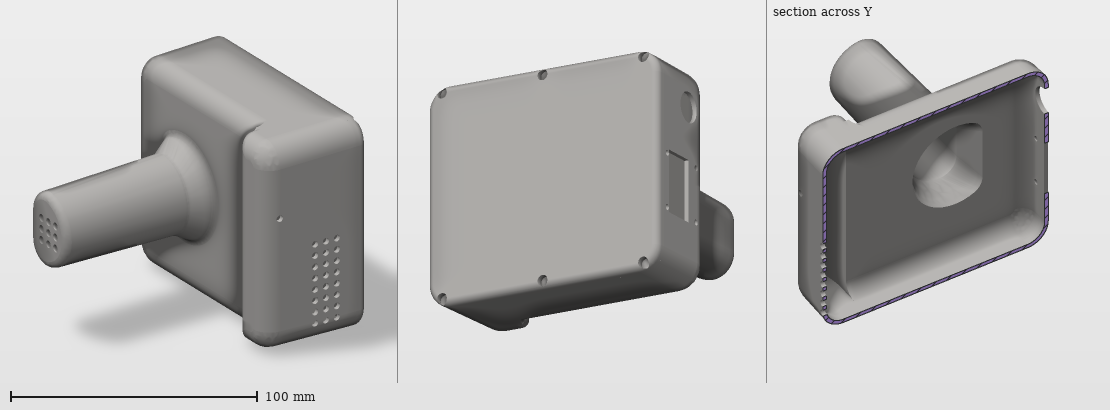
import cadquery as cq
import math

WIDTH = 108.7
HEIGHT = 93.7
DEPTH = 110.0
LID_DEPTH = 5.0
FACE_DEPTH = 40.0
RIDGE_DEPTH = 50.0
RIDGE_LEFT = 32.6
DRAFT = 1.0
CORNER_RADIUS = 10.0
FRONT_FILLET = 8.0
SEAM_FILLET = 3.0
BACK_FILLET = 3.0
WALL = 2.0
RIDGE_END_FILLET = 3.0
SEAM_OVERLAP = 1.1
SEAM_HALF = (
    HEIGHT / 2
    - (FACE_DEPTH - LID_DEPTH) * math.tan(math.radians(DRAFT))
    - FRONT_FILLET * math.tan(math.radians((90 - DRAFT) / 2))
)

RECESS_DIAMETER = 4.6
RECESS_DEPTH = 3.0
SCREW_X = 47.4
SCREW_Z = 43.8

HANDLE_X = -17.7
ROOT_RADIUS = 22.5
ROOT_FLAT = 14.8
ROOT_STRAIGHT = 12.2
NECK_RADIUS = 17.5
NECK_FLAT = 9.9
NECK_STRAIGHT = 7.5
END_RADIUS = 16.6
END_FLAT = 8.6
END_STRAIGHT = 6.4
NECK_DEPTH = RIDGE_DEPTH
ROOT_FILLET = 3.0
NECK_FILLET = 2.0
END_FILLET = 3.0

END_HOLE_DIAMETER = 3.3
END_HOLE_PITCH = 5.0
END_HOLES_PER_SIDE = 3
END_HOLE_X = -13.4

PORT_DIAMETER = 13.2
PORT_DEPTH = 25.1
PORT_Z = 27.9
WINDOW_START = 9.1
WINDOW_LENGTH = 16.1
WINDOW_HEIGHT = 26.6
WINDOW_Z = -7.8
MOUNT_DIAMETER = 2.4
MOUNT_LENGTH = 23.5
MOUNT_HEIGHT = 23.1
MOUNT_START = 7.7

VENT_DIAMETER = 3.0
VENT_ROWS = 8
VENT_COLUMNS = 3
VENT_ROW_PITCH = 5.1
VENT_COLUMN_PITCH = 5.3
VENT_START = 14.6
VENT_TOP_Z = -1.6
LIGHT_DIAMETER = 3.0
LIGHT_DEPTH = 42.4
LIGHT_Z = 14.3

SELECT_MARGIN = 1.1
SELECT_TOLERANCE = 0.05

CUT_SPAN = 8.8


def plane_at(depth):
    """Sketch plane at a depth in front of the back face, looking toward -Y."""
    return cq.Workplane("XZ", origin=(0, -depth, 0))


def drafted_block(inset, depth):
    """Block with rounded corners that narrows from the lid joint to its front."""
    return (
        plane_at(LID_DEPTH)
        .rect(WIDTH - 2 * inset, HEIGHT - 2 * inset)
        .extrude(depth - inset - LID_DEPTH, taper=DRAFT)
        .edges("not(<Y or >Y)")
        .fillet(CORNER_RADIUS - inset)
    )


def left_of(x):
    """Oversized block that fills everything to the left of an X position."""
    return cq.Workplane("XY").box(WIDTH, 3 * DEPTH, 2 * HEIGHT).translate((x - WIDTH / 2, 0, 0))


def ridge_block(inset):
    """Tall right-hand part of the housing with rounded front edges."""
    block = drafted_block(inset, RIDGE_DEPTH).cut(left_of(RIDGE_LEFT + inset))
    return block.faces("<Y").edges().fillet(FRONT_FILLET - inset)


def round_ridge_ends(block):
    """Round the two left corners of the ridge, selected by the mitred edges at its front."""
    mitres = cq.selectors.BoxSelector(
        (RIDGE_LEFT, -RIDGE_DEPTH, -HEIGHT / 2),
        (RIDGE_LEFT + FRONT_FILLET, -RIDGE_DEPTH + FRONT_FILLET - SELECT_MARGIN, HEIGHT / 2),
    )
    return block.edges(mitres).fillet(RIDGE_END_FILLET)


def seam_section():
    """Concave fillet profile between the front face and the rounded ridge, for sweeping along the seam."""
    ridge_arc_x = RIDGE_LEFT + FRONT_FILLET
    ridge_arc_y = -RIDGE_DEPTH + FRONT_FILLET
    seam_arc_y = -FACE_DEPTH - SEAM_FILLET
    reach = SEAM_FILLET + FRONT_FILLET
    tilt = math.asin((ridge_arc_y - seam_arc_y) / reach)
    seam_arc_x = ridge_arc_x - reach * math.cos(tilt)
    touch = (seam_arc_x + SEAM_FILLET * math.cos(tilt), seam_arc_y + SEAM_FILLET * math.sin(tilt))
    middle_angle = (tilt + math.pi / 2) / 2
    middle = (
        seam_arc_x + SEAM_FILLET * math.cos(middle_angle),
        seam_arc_y + SEAM_FILLET * math.sin(middle_angle),
    )
    return (
        cq.Workplane("XY", origin=(0, 0, SEAM_HALF))
        .moveTo(seam_arc_x, -FACE_DEPTH)
        .threePointArc(middle, touch)
        .lineTo(ridge_arc_x, touch[1])
        .lineTo(ridge_arc_x, -FACE_DEPTH + SEAM_OVERLAP)
        .lineTo(seam_arc_x, -FACE_DEPTH + SEAM_OVERLAP)
        .close()
    )


def ridge_seam():
    """Concave fillet along the foot of the ridge, turning down over the rounded ends of the face."""
    pivot_y = -FACE_DEPTH + FRONT_FILLET
    straight = seam_section().extrude(-2 * SEAM_HALF)
    turn = seam_section().revolve(90, (1.1, pivot_y, 0), (0, pivot_y, 0))
    seam = straight.union(turn).union(turn.mirror("XY"))
    return seam.intersect(drafted_block(0, RIDGE_DEPTH))


def main_block(inset):
    """Broad part of the housing with rounded front edges."""
    block = drafted_block(inset, FACE_DEPTH).faces("<Y").edges().fillet(FRONT_FILLET - inset)
    return block.intersect(left_of(RIDGE_LEFT + FRONT_FILLET))


def handle_section(depth, radius, flat, straight):
    """Closed outline of the handle: one large arc, a flat on the left and two corner arcs."""
    corner = (radius**2 - flat**2 - straight**2) / (2 * (radius - flat))
    corner_x = HANDLE_X - flat + corner
    toward_corner = math.atan2(straight, corner_x - HANDLE_X)
    touch_x = HANDLE_X + radius * math.cos(toward_corner)
    touch_z = radius * math.sin(toward_corner)
    middle_angle = (toward_corner + math.pi) / 2
    middle_x = corner_x + corner * math.cos(middle_angle)
    middle_z = straight + corner * math.sin(middle_angle)
    flat_x = HANDLE_X - flat
    return (
        plane_at(depth)
        .moveTo(flat_x, -straight)
        .lineTo(flat_x, straight)
        .threePointArc((middle_x, middle_z), (touch_x, touch_z))
        .threePointArc((HANDLE_X + radius, 0), (touch_x, -touch_z))
        .threePointArc((middle_x, -middle_z), (flat_x, -straight))
        .close()
        .wires()
        .val()
    )


def handle_form(inset):
    """Flared foot and tapered grip of the handle, shrunk by an inset."""
    root = handle_section(
        FACE_DEPTH - inset, ROOT_RADIUS - inset, ROOT_FLAT - inset, ROOT_STRAIGHT
    )
    neck = handle_section(NECK_DEPTH, NECK_RADIUS - inset, NECK_FLAT - inset, NECK_STRAIGHT)
    end = handle_section(DEPTH - inset, END_RADIUS - inset, END_FLAT - inset, END_STRAIGHT)
    foot = cq.Workplane(cq.Solid.makeLoft([root, neck], True))
    grip = cq.Workplane(cq.Solid.makeLoft([neck, end], True))
    return foot.union(grip)


def handle_edges(body, depth):
    """Edges of the handle outline that lie at one depth."""
    reach = ROOT_RADIUS + SELECT_MARGIN
    return body.edges(
        cq.selectors.BoxSelector(
            (HANDLE_X - reach, -depth - SELECT_TOLERANCE, -reach),
            (HANDLE_X + reach, -depth + SELECT_TOLERANCE, reach),
            boundingbox=True,
        )
    )


def outer_form():
    """Outside of the housing with its blended handle."""
    ridge = round_ridge_ends(ridge_block(0))
    body = main_block(0).union(ridge).union(ridge_seam()).union(handle_form(0))
    body = handle_edges(body, NECK_DEPTH).fillet(NECK_FILLET)
    body = handle_edges(body, FACE_DEPTH).fillet(ROOT_FILLET)
    return body.faces("<Y").edges().fillet(END_FILLET)


def end_holes():
    """Grid of round holes through the end of the handle."""
    return (
        plane_at(DEPTH - CUT_SPAN)
        .center(END_HOLE_X, 0)
        .rarray(END_HOLE_PITCH, END_HOLE_PITCH, END_HOLES_PER_SIDE, END_HOLES_PER_SIDE)
        .circle(END_HOLE_DIAMETER / 2)
        .extrude(CUT_SPAN)
    )


def side_plane(x):
    """Sketch plane across X: local x runs along +Y and local y along +Z."""
    return cq.Workplane("YZ", origin=(x, 0, 0))


def left_openings():
    """Round port and rectangular window with four mounting holes through the left wall."""
    plane = side_plane(-WIDTH / 2)
    port = plane.center(-PORT_DEPTH, PORT_Z).circle(PORT_DIAMETER / 2).extrude(CUT_SPAN)
    window = (
        plane.center(-WINDOW_START - WINDOW_LENGTH / 2, WINDOW_Z)
        .rect(WINDOW_LENGTH, WINDOW_HEIGHT)
        .extrude(CUT_SPAN)
    )
    mounts = (
        plane.center(-MOUNT_START - MOUNT_LENGTH / 2, WINDOW_Z)
        .rarray(MOUNT_LENGTH, MOUNT_HEIGHT, 2, 2)
        .circle(MOUNT_DIAMETER / 2)
        .extrude(CUT_SPAN)
    )
    return port.union(window).union(mounts)


def right_openings():
    """Vent grid and a small round hole through the right wall."""
    plane = side_plane(WIDTH / 2)
    vents = (
        plane.center(
            -VENT_START - (VENT_COLUMNS - 1) * VENT_COLUMN_PITCH / 2,
            VENT_TOP_Z - (VENT_ROWS - 1) * VENT_ROW_PITCH / 2,
        )
        .rarray(VENT_COLUMN_PITCH, VENT_ROW_PITCH, VENT_COLUMNS, VENT_ROWS)
        .circle(VENT_DIAMETER / 2)
        .extrude(-CUT_SPAN)
    )
    light = plane.center(-LIGHT_DEPTH, LIGHT_Z).circle(LIGHT_DIAMETER / 2).extrude(-CUT_SPAN)
    return vents.union(light)


def make_housing():
    """Hollow housing and handle, open at the back."""
    cavity = main_block(WALL).union(ridge_block(WALL)).union(handle_form(WALL))
    openings = end_holes().union(left_openings()).union(right_openings())
    return outer_form().cut(cavity).cut(openings)


def make_lid():
    """Flat back plate with a rounded rim and six screw recesses."""
    plate = (
        plane_at(0)
        .rect(WIDTH, HEIGHT)
        .extrude(LID_DEPTH)
        .edges("|Y")
        .fillet(CORNER_RADIUS)
        .faces(">Y")
        .edges()
        .fillet(BACK_FILLET)
    )
    recesses = (
        plane_at(0)
        .rarray(SCREW_X, 2 * SCREW_Z, 3, 2)
        .circle(RECESS_DIAMETER / 2)
        .extrude(RECESS_DEPTH)
    )
    return plate.cut(recesses)


housing = make_housing()
lid = make_lid()
result = cq.Compound.makeCompound([housing.val(), lid.val()])